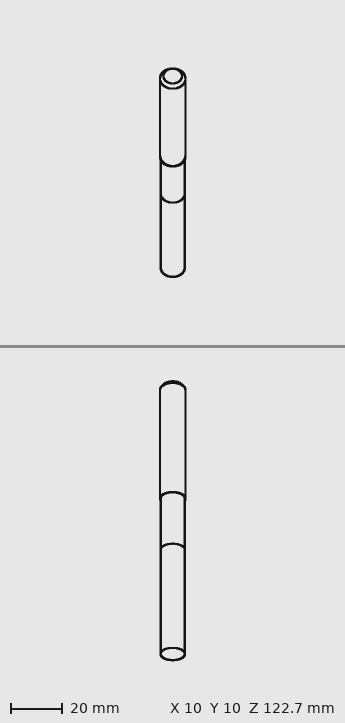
import cadquery as cq
import math

total_length = 122.7
shank_diameter = 10.0
drill_diameter = 9.5

shank_length = 50.8
shank_chamfer_height = 1.6
shank_end_diameter = 7.2

point_angle = 140.0
cutting_length = 48.7

shank_radius = shank_diameter / 2
shank_end_radius = shank_end_diameter / 2
drill_radius = drill_diameter / 2
point_height = drill_radius / math.tan(math.radians(point_angle / 2))
shank_bottom = total_length - shank_length


def revolve_profile(points):
    """Revolve a closed (radius, height) outline about the Z axis."""
    return cq.Workplane("XZ").polyline(points).close().revolve(360, (0, 0, 0), (0, 1, 0))


def make_shank():
    """Shank with a chamfered top and a slightly narrower neck below it."""
    return revolve_profile([
        (0, cutting_length),
        (drill_radius, cutting_length),
        (drill_radius, shank_bottom),
        (shank_radius, shank_bottom),
        (shank_radius, total_length - shank_chamfer_height),
        (shank_end_radius, total_length),
        (0, total_length),
    ])


def make_cutting_part():
    """Cylindrical cutting part ending in a conical point."""
    return revolve_profile([
        (0, 0),
        (drill_radius, point_height),
        (drill_radius, cutting_length),
        (0, cutting_length),
    ])


shank = make_shank()
cutting_part = make_cutting_part()

result = cq.Compound.makeCompound([shank.val(), cutting_part.val()])